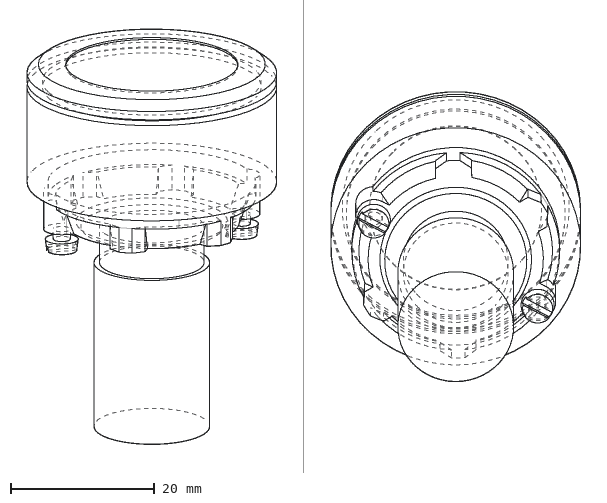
import cadquery as cq
import math

total_height = 53
head_diameter = 34.8

cap_top_diameter = 31.6
cap_bevel_bottom = 51.8
cap_bottom = 50.6
recess_diameter = 23.95
recess_depth = 0.25

groove_diameter = 30.5
drum_top = 49.75
drum_bottom = 35.8

ring_diameter = 28.95
ring_bottom = 33.6
hub_top_diameter = 26.95
hub_bottom_diameter = 24.4
hub_bottom = 30.0
hub_end_top_diameter = 21.1
hub_end_bottom_diameter = 19.8
hub_end_bottom = 29.25

neck_diameter = 14.6
tube_diameter = 16.1
tube_top = 24.0

lug_angles = (30, 150, 210, 330)
lug_width = 5.05
lug_tip_width = 1.85
lug_shoulder_radius = 13.3
post_angles = (90, 270)
post_diameter = lug_width
screw_circle_radius = 13.0

shank_diameter = 2.4
screw_head_top = 28.6
screw_head_bottom = 26.95
screw_head_top_diameter = 4.6
screw_head_bottom_diameter = 4.2
slot_width = 1.0
slot_depth = 0.8


def cylinder(diameter, bottom, top):
    """Upright cylinder on the Z axis between two heights."""
    return cq.Workplane("XY").workplane(offset=bottom).circle(diameter / 2).extrude(top - bottom)


def cone(bottom_diameter, top_diameter, bottom, top):
    """Upright truncated cone on the Z axis between two heights."""
    profile = [
        (0, bottom),
        (bottom_diameter / 2, bottom),
        (top_diameter / 2, top),
        (0, top),
    ]
    return cq.Workplane("XZ").polyline(profile).close().revolve(360, (0, 0), (0, 1))


def make_head():
    """Bevelled cap, groove and drum, with the recess cut in the top face."""
    cap_rim = cylinder(head_diameter, cap_bottom, cap_bevel_bottom)
    cap_bevel = cone(head_diameter, cap_top_diameter, cap_bevel_bottom, total_height)
    groove_core = cylinder(groove_diameter, drum_top, cap_bottom)
    drum = cylinder(head_diameter, drum_bottom, drum_top)
    recess = cylinder(recess_diameter, total_height - recess_depth, total_height)
    return drum.union(groove_core).union(cap_rim).union(cap_bevel).cut(recess)


def make_hub():
    """Mounting ring, tapered hub and its bevelled end."""
    ring = cylinder(ring_diameter, ring_bottom, drum_bottom)
    taper = cone(hub_bottom_diameter, hub_top_diameter, hub_bottom, ring_bottom)
    hub_end = cone(hub_end_bottom_diameter, hub_end_top_diameter, hub_end_bottom, hub_bottom)
    return ring.union(taper).union(hub_end)


def make_stem():
    """Narrow neck standing on the wider tube."""
    neck = cylinder(neck_diameter, tube_top, hub_end_bottom)
    tube = cylinder(tube_diameter, 0, tube_top)
    return neck.union(tube)


def make_lug(angle):
    """Lug with slanted shoulders and a tip that follows the mounting ring."""
    ring_radius = ring_diameter / 2
    half_width = lug_width / 2
    half_tip = lug_tip_width / 2
    tip_radius = math.sqrt(ring_radius**2 - half_tip**2)
    lug = (
        cq.Workplane("XY")
        .workplane(offset=hub_bottom)
        .moveTo(0, -half_width)
        .lineTo(lug_shoulder_radius, -half_width)
        .lineTo(tip_radius, -half_tip)
        .threePointArc((ring_radius, 0), (tip_radius, half_tip))
        .lineTo(lug_shoulder_radius, half_width)
        .lineTo(0, half_width)
        .close()
        .extrude(ring_bottom - hub_bottom)
    )
    return lug.rotate((0, 0, 0), (0, 0, 1), angle)


def make_post(angle):
    """Round-ended post from the hub bottom up to the drum."""
    height = drum_bottom - hub_bottom
    base = cq.Workplane("XY").workplane(offset=hub_bottom)
    round_end = base.center(screw_circle_radius, 0).circle(post_diameter / 2).extrude(height)
    web = base.center(screw_circle_radius / 2, 0).rect(screw_circle_radius, post_diameter).extrude(height)
    return round_end.union(web).rotate((0, 0, 0), (0, 0, 1), angle)


def make_housing():
    """Head, hub, stem, lugs and posts as one solid."""
    housing = make_head().union(make_hub()).union(make_stem())
    for angle in lug_angles:
        housing = housing.union(make_lug(angle))
    for angle in post_angles:
        housing = housing.union(make_post(angle))
    return housing


def make_screw(angle):
    """Screw with a tapered head and a radial driver slot, touching the bottom of its post."""
    shank = cylinder(shank_diameter, screw_head_top, hub_bottom)
    head = cone(screw_head_bottom_diameter, screw_head_top_diameter, screw_head_bottom, screw_head_top)
    slot = (
        cq.Workplane("XY")
        .workplane(offset=screw_head_bottom)
        .rect(screw_head_top_diameter, slot_width)
        .extrude(slot_depth)
    )
    screw = shank.union(head).cut(slot)
    return screw.translate((screw_circle_radius, 0, 0)).rotate((0, 0, 0), (0, 0, 1), angle)


housing = make_housing()
screws = [make_screw(angle) for angle in post_angles]

result = cq.Compound.makeCompound([housing.val(), *[screw.val() for screw in screws]])